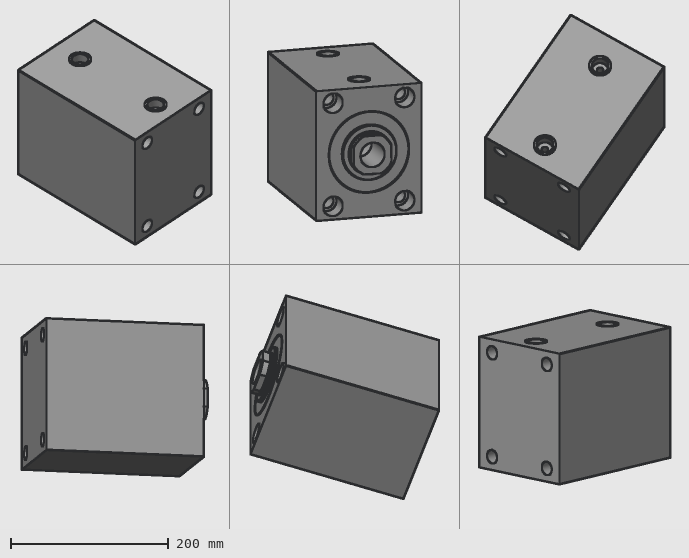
import cadquery as cq
import math


TOTAL_LENGTH = 220.0
BLOCK_WIDTH = 140.0
BLOCK_HEIGHT = 170.0
BLOCK_FRONT = 15.5
BLOCK_LENGTH = TOTAL_LENGTH - BLOCK_FRONT
LONG_EDGE_CHAMFER = 0.7

BOLT_SPACING_Y = 95.0
BOLT_SPACING_Z = 135.0
BOLT_HOLE_DIAMETER = 17.4
BOLT_HEAD_DIAMETER = 25.5
BOLT_HEAD_DEPTH = 26.5

PORT_POSITIONS = (57.0, 189.2)
PORT_SEAT_DIAMETER = 28.0
PORT_SEAT_DEPTH = 0.2
PORT_THREAD_DIAMETER = 21.1
PORT_THREAD_DEPTH = 13.5
PORT_PASSAGE_DIAMETER = 8.4

BORE_RADIUS = 50.0
REAR_WALL = 17.5
BORE_END = TOTAL_LENGTH - REAR_WALL
PISTON_LENGTH = 44.0
PISTON_FRONT = BORE_END - PISTON_LENGTH

GLAND_RADIUS = 52.5
GLAND_SEAT_CHAMFER = 0.9
GLAND_END = 44.0
NOSE_RADIUS = 36.0
NOSE_FRONT = 11.9
NOSE_CHAMFER = 0.9
LIP_RADIUS = 28.2
LIP_FRONT = 9.0
LIP_CHAMFER = 0.55

ROD_RADIUS = 27.5
WRENCH_WIDTH = 50.0
WRENCH_LENGTH = 9.5
ROD_HOLE_RADIUS = 16.0
ROD_HOLE_DEPTH = 55.0
DRILL_POINT_ANGLE = 118.0


def revolved_about_axis(profile_points):
    """Turn a closed profile of (X, radius) points about the cylinder axis."""
    profile = cq.Workplane("XY").polyline(profile_points).close()
    return profile.revolve(360, (0, 0, 0), (1, 0, 0))


def make_port(position):
    """Tool for one oil port: shallow seat, threaded bore and narrow passage into the cylinder."""
    steps = (
        (PORT_SEAT_DIAMETER, PORT_SEAT_DEPTH),
        (PORT_THREAD_DIAMETER, PORT_THREAD_DEPTH),
        (PORT_PASSAGE_DIAMETER, BLOCK_HEIGHT / 2),
    )
    top = cq.Workplane("XY", origin=(position, 0, BLOCK_HEIGHT / 2))
    port = cq.Workplane("XY")
    for diameter, depth in steps:
        port = port.union(top.circle(diameter / 2).extrude(-depth))
    return port


def make_housing():
    block = (
        cq.Workplane("YZ", origin=(BLOCK_FRONT, 0, 0))
        .rect(BLOCK_WIDTH, BLOCK_HEIGHT)
        .extrude(BLOCK_LENGTH)
        .edges("|X")
        .chamfer(LONG_EDGE_CHAMFER)
    )

    bolt_centres = (
        cq.Workplane("YZ", origin=(BLOCK_FRONT, 0, 0))
        .rect(BOLT_SPACING_Y, BOLT_SPACING_Z, forConstruction=True)
        .vertices()
    )
    block = block.cut(bolt_centres.circle(BOLT_HOLE_DIAMETER / 2).extrude(BLOCK_LENGTH))
    block = block.cut(bolt_centres.circle(BOLT_HEAD_DIAMETER / 2).extrude(BOLT_HEAD_DEPTH))

    for position in PORT_POSITIONS:
        block = block.cut(make_port(position))

    bore = revolved_about_axis([
        (BLOCK_FRONT, 0),
        (BLOCK_FRONT, GLAND_RADIUS + GLAND_SEAT_CHAMFER),
        (BLOCK_FRONT + GLAND_SEAT_CHAMFER, GLAND_RADIUS),
        (GLAND_END, GLAND_RADIUS),
        (GLAND_END, BORE_RADIUS),
        (BORE_END, BORE_RADIUS),
        (BORE_END, 0),
    ])
    return block.cut(bore)


def make_gland():
    return revolved_about_axis([
        (LIP_FRONT, ROD_RADIUS),
        (LIP_FRONT, LIP_RADIUS - LIP_CHAMFER),
        (LIP_FRONT + LIP_CHAMFER, LIP_RADIUS),
        (NOSE_FRONT, LIP_RADIUS),
        (NOSE_FRONT, NOSE_RADIUS - NOSE_CHAMFER),
        (NOSE_FRONT + NOSE_CHAMFER, NOSE_RADIUS),
        (BLOCK_FRONT, NOSE_RADIUS),
        (BLOCK_FRONT, GLAND_RADIUS),
        (GLAND_END, GLAND_RADIUS),
        (GLAND_END, ROD_RADIUS),
    ])


def make_piston_rod():
    drill_point_length = ROD_HOLE_RADIUS / math.tan(math.radians(DRILL_POINT_ANGLE / 2))
    rod = revolved_about_axis([
        (0, ROD_HOLE_RADIUS),
        (0, ROD_RADIUS),
        (PISTON_FRONT, ROD_RADIUS),
        (PISTON_FRONT, BORE_RADIUS),
        (BORE_END, BORE_RADIUS),
        (BORE_END, 0),
        (ROD_HOLE_DEPTH + drill_point_length, 0),
        (ROD_HOLE_DEPTH, ROD_HOLE_RADIUS),
    ])

    wrench_waste = (
        cq.Workplane("YZ")
        .circle(2 * ROD_RADIUS)
        .rect(WRENCH_WIDTH, WRENCH_WIDTH)
        .extrude(WRENCH_LENGTH)
    )
    return rod.cut(wrench_waste)


housing = make_housing()
gland = make_gland()
piston_rod = make_piston_rod()

result = cq.Compound.makeCompound([housing.val(), gland.val(), piston_rod.val()])